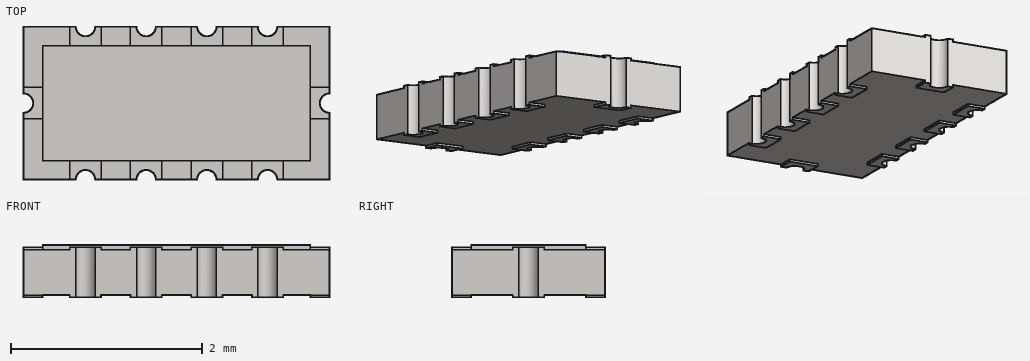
import cadquery as cq

length = 3.2
width = 1.6
height = 0.55

cover_length = 2.8
cover_width = 1.2

pad_thickness = 0.025
cover_thickness = 2 * pad_thickness
body_bottom = pad_thickness
body_top = height - cover_thickness
body_thickness = body_top - body_bottom

pad_width = 0.33
pad_depth = (length - cover_length) / 2
notch_radius = pad_depth / 2
terminals_per_long_side = 4
row_span = 1.905
terminal_pitch = row_span / (terminals_per_long_side - 1)


def slab(size_x, size_y, thickness, bottom, center=(0, 0)):
    """Rectangular slab rising from the given bottom height."""
    return (
        cq.Workplane("XY", origin=(center[0], center[1], bottom))
        .rect(size_x, size_y)
        .extrude(thickness)
    )


def terminal_pads(pad_center, size_x, size_y):
    """Matching pads on the bottom and top faces of the body."""
    lower = slab(size_x, size_y, pad_thickness, 0, pad_center)
    upper = slab(size_x, size_y, pad_thickness, body_top, pad_center)
    return lower, upper


row_x = [-row_span / 2 + i * terminal_pitch for i in range(terminals_per_long_side)]
long_edge_notches = [(x, side * width / 2) for side in (-1, 1) for x in row_x]
short_edge_notches = [(side * length / 2, 0) for side in (-1, 1)]

result = slab(length, width, body_thickness, body_bottom)
result = result.union(slab(cover_length, cover_width, cover_thickness, body_top))

for side in (-1, 1):
    pad_y = side * (width - pad_depth) / 2
    for x in row_x:
        for pad in terminal_pads((x, pad_y), pad_width, pad_depth):
            result = result.union(pad)

for side in (-1, 1):
    pad_x = side * (length - pad_depth) / 2
    for pad in terminal_pads((pad_x, 0), pad_depth, pad_width):
        result = result.union(pad)

notches = (
    cq.Workplane("XY")
    .pushPoints(long_edge_notches + short_edge_notches)
    .circle(notch_radius)
    .extrude(height)
)
result = result.cut(notches)